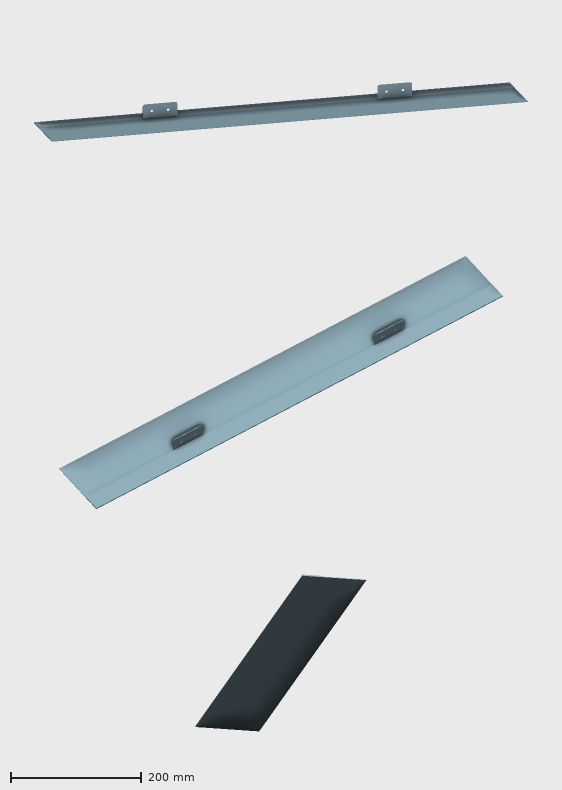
import cadquery as cq

sheet_width = 100.0
sheet_length = 760.0
sheet_thickness = 1.0

total_height = 25.1
bracket_thickness = 1.0
strip_width = 29.0
bend_inner_radius = 0.5

tab_length = 55.0
tab_offset_y = 187.5
tab_corner_radius = 3.5
hole_diameter = 4.0
hole_spacing = 26.0
hole_height = 13.6

bend_outer_radius = bend_inner_radius + bracket_thickness
tab_inner_x = strip_width + bend_inner_radius
tab_outer_x = strip_width + bend_outer_radius
strip_top = sheet_thickness + bracket_thickness
bend_end_z = sheet_thickness + bend_outer_radius


def make_plate(width, thickness, bottom_z):
    """Full-length flat plate with its -X edge at X = 0, centred along Y."""
    plate = cq.Workplane("XY", origin=(0, 0, bottom_z))
    return plate.box(width, sheet_length, thickness, centered=(False, True, False))


def make_tab(center_y):
    """Bend and upright tab, with rounded top corners and two holes through it."""
    tab = (
        cq.Workplane("XZ", origin=(0, center_y, 0))
        .moveTo(strip_width, sheet_thickness)
        .radiusArc((tab_outer_x, bend_end_z), -bend_outer_radius)
        .lineTo(tab_outer_x, total_height)
        .lineTo(tab_inner_x, total_height)
        .lineTo(tab_inner_x, bend_end_z)
        .radiusArc((strip_width, strip_top), bend_inner_radius)
        .close()
        .extrude(tab_length / 2, both=True)
    )
    tab = tab.edges("|X and >Z").fillet(tab_corner_radius)
    holes = (
        cq.Workplane("YZ", origin=(tab_inner_x, center_y, hole_height))
        .pushPoints([(-hole_spacing / 2, 0), (hole_spacing / 2, 0)])
        .circle(hole_diameter / 2)
        .extrude(bracket_thickness)
    )
    return tab.cut(holes)


sheet = make_plate(sheet_width, sheet_thickness, 0)
strip = make_plate(strip_width, bracket_thickness, sheet_thickness)

result = sheet.union(strip)
for side in (-1, 1):
    result = result.union(make_tab(side * tab_offset_y))